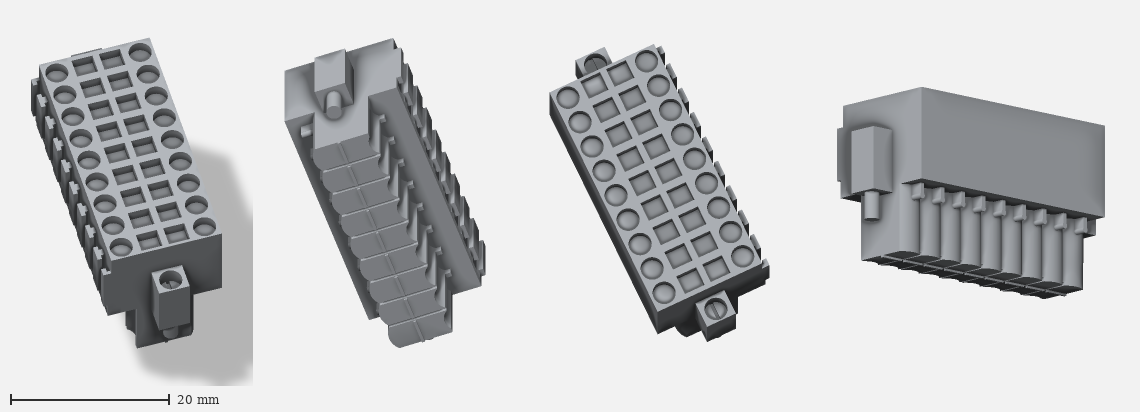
import cadquery as cq
import math


POLE_COUNT = 9
TOTAL_LENGTH = 38.3
BLOCK_LENGTH = 31.52
BLOCK_DEPTH = 14.55
BLOCK_HEIGHT = 11.85
PITCH = BLOCK_LENGTH / POLE_COUNT
BLOCK_FRONT = -BLOCK_DEPTH / 2
BLOCK_BACK = BLOCK_DEPTH / 2
BLOCK_END = BLOCK_LENGTH / 2
POLE_POSITIONS = [(i - (POLE_COUNT - 1) / 2) * PITCH for i in range(POLE_COUNT)]
WALL_POSITIONS = [x + PITCH / 2 for x in POLE_POSITIONS[:-1]]

LIP_FRONT = -7.75
RIB_FRONT = -8.3
RIB_TOP = 9.08
RIB_BOTTOM = 2.3
RIB_HEAD_WIDTH = 2.0
GROOVE_WIDTH = 2.6
GROOVE_FLOOR = 1.15

ENTRY_RADIUS = 1.45
ENTRY_ROW_Y = 5.48
OPENING_LENGTH = 2.53
OPENING_WIDTH = 2.75
OPENING_ROW_Y = 1.8
TOP_RECESS = 1.57
TOP_ROW_SHIFT = 0.1

PLUG_BOTTOM = -8.7
PLUG_FRONT = -4.25
PLUG_BACK = 3.95
END_FRONT = -3.9
VALLEY_BACK = 3.2
WALL_WIDTH = 0.57
SCALLOP_RADIUS = 1.75
WALL_SLOT_WIDTH = 0.35
WALL_SLOT_HEIGHT = 0.45
RAIL_WIDTH = 0.4
RAIL_HEIGHT = 0.25

FRONT_STUB_FRONT = -4.98
FRONT_STUB_BOTTOM = -0.92
LATCH_BACK = 5.55
LATCH_WIDTH = 0.57
LATCH_AXIS_Z = -1.6
LATCH_BEAD_RADIUS = 0.4

FLANGE_WIDTH = 4.02
FLANGE_TOP = 7.12
FLANGE_BOTTOM = -0.92
SCREW_INSET = 1.6
SCREW_X = TOTAL_LENGTH / 2 - SCREW_INSET

HEAD_RADIUS = 1.45
HEAD_SINK = 2.3
HEAD_HEIGHT = 1.55
HEAD_TOP = FLANGE_TOP - HEAD_SINK
HEAD_SEAT = HEAD_TOP - HEAD_HEIGHT
SHANK_RADIUS = 0.95
SHANK_BOTTOM = -4.35
DRIVE_SLOT_WIDTH = 0.45
DRIVE_SLOT_DEPTH = 0.57


def box(x_min, x_max, y_min, y_max, z_min, z_max):
    """Axis-aligned box between the given limits."""
    size = (x_max - x_min, y_max - y_min, z_max - z_min)
    return cq.Workplane("XY").box(*size, centered=False).translate((x_min, y_min, z_min))


def centred_box(x, width, y_min, y_max, z_min, z_max):
    """Box of the given X width, centred on x."""
    return box(x - width / 2, x + width / 2, y_min, y_max, z_min, z_max)


def rod(x, y, radius, z_min, z_max):
    """Vertical cylinder."""
    return cq.Workplane("XY", origin=(x, y, z_min)).circle(radius).extrude(z_max - z_min)


def add_coding_ribs(body):
    """Front layer split by grooves into necks, each carrying a wider rib head."""
    body = body.union(box(-BLOCK_END, BLOCK_END, LIP_FRONT, BLOCK_FRONT, 0, RIB_TOP))
    for x in POLE_POSITIONS:
        body = body.cut(centred_box(x, GROOVE_WIDTH, LIP_FRONT, BLOCK_FRONT, GROOVE_FLOOR, RIB_TOP))
    for x in WALL_POSITIONS:
        body = body.union(centred_box(x, RIB_HEAD_WIDTH, RIB_FRONT, LIP_FRONT, RIB_BOTTOM, RIB_TOP))
    half_head = box(-BLOCK_END, -BLOCK_END + RIB_HEAD_WIDTH / 2, RIB_FRONT, LIP_FRONT, RIB_BOTTOM, RIB_TOP)
    return body.union(half_head).union(half_head.mirror("YZ"))


def cut_top_recesses(body):
    """Two outer rows of round wire entries and two inner rows of rectangular openings."""
    entries = [(x + TOP_ROW_SHIFT, side * ENTRY_ROW_Y) for x in POLE_POSITIONS for side in (-1, 1)]
    openings = [(x + TOP_ROW_SHIFT, side * OPENING_ROW_Y) for x in POLE_POSITIONS for side in (-1, 1)]
    recess_floor = cq.Workplane("XY", origin=(0, 0, BLOCK_HEIGHT - TOP_RECESS))
    body = body.cut(recess_floor.pushPoints(entries).circle(ENTRY_RADIUS).extrude(TOP_RECESS))
    opening_sections = recess_floor.pushPoints(openings).rect(OPENING_LENGTH, OPENING_WIDTH)
    return body.cut(opening_sections.extrude(TOP_RECESS))


def make_plug_blank():
    """Plug section with a flat front and one convex arc per pole along its back."""
    outline = cq.Workplane("XY", origin=(0, 0, PLUG_BOTTOM)).moveTo(-BLOCK_END, VALLEY_BACK)
    for x in POLE_POSITIONS:
        outline = outline.threePointArc((x, PLUG_BACK), (x + PITCH / 2, VALLEY_BACK))
    return outline.lineTo(BLOCK_END, PLUG_FRONT).lineTo(-BLOCK_END, PLUG_FRONT).close().extrude(-PLUG_BOTTOM)


def cut_front_scallops(plug):
    """One concave scallop per pole, with a wall of WALL_WIDTH left between neighbours."""
    half_opening = (PITCH - WALL_WIDTH) / 2
    axis_y = PLUG_FRONT - math.sqrt(SCALLOP_RADIUS**2 - half_opening**2)
    for x in POLE_POSITIONS:
        plug = plug.cut(rod(x, axis_y, SCALLOP_RADIUS, PLUG_BOTTOM, 0))
    for x_min, x_max in ((-BLOCK_END, POLE_POSITIONS[0]), (POLE_POSITIONS[-1], BLOCK_END)):
        plug = plug.cut(box(x_min, x_max, PLUG_FRONT, END_FRONT, PLUG_BOTTOM, 0))
    return plug


def make_plug():
    """Lower plug section with a bottom rail, slotted from below between the poles."""
    plug = cut_front_scallops(make_plug_blank())
    rail_bottom = PLUG_BOTTOM - RAIL_HEIGHT
    rail_half = RAIL_WIDTH / 2
    slot_top = PLUG_BOTTOM + WALL_SLOT_HEIGHT
    plug = plug.union(box(-BLOCK_END, BLOCK_END, -rail_half, rail_half, rail_bottom, PLUG_BOTTOM))
    for x in WALL_POSITIONS:
        plug = plug.cut(centred_box(x, WALL_SLOT_WIDTH, PLUG_FRONT, PLUG_BACK, PLUG_BOTTOM, slot_top))
        plug = plug.cut(centred_box(x, WALL_WIDTH, -rail_half, rail_half, rail_bottom, PLUG_BOTTOM))
    return plug


def add_overhang_ribs(body):
    """Short stubs in front of the walls and a beaded latch rib behind every pole."""
    for x in WALL_POSITIONS:
        body = body.union(centred_box(x, WALL_WIDTH, FRONT_STUB_FRONT, PLUG_FRONT, FRONT_STUB_BOTTOM, 0))
    for x in POLE_POSITIONS:
        body = body.union(centred_box(x, LATCH_WIDTH, VALLEY_BACK, LATCH_BACK, LATCH_AXIS_Z, 0))
        bead = cq.Workplane("XZ", origin=(x, LATCH_BACK, LATCH_AXIS_Z)).circle(LATCH_BEAD_RADIUS)
        body = body.union(bead.extrude(LATCH_BACK - VALLEY_BACK))
    return body


def make_flange(side):
    """End flange with a stepped bore for its screw; side is -1 or +1 along X."""
    x_min, x_max = sorted((side * BLOCK_END, side * TOTAL_LENGTH / 2))
    flange = box(x_min, x_max, -FLANGE_WIDTH / 2, FLANGE_WIDTH / 2, FLANGE_BOTTOM, FLANGE_TOP)
    flange = flange.cut(rod(side * SCREW_X, 0, HEAD_RADIUS, HEAD_SEAT, FLANGE_TOP))
    return flange.cut(rod(side * SCREW_X, 0, SHANK_RADIUS, FLANGE_BOTTOM, HEAD_SEAT))


def make_housing():
    """Upper block, plug section, overhang ribs and both screw flanges as one solid."""
    body = box(-BLOCK_END, BLOCK_END, BLOCK_FRONT, BLOCK_BACK, 0, BLOCK_HEIGHT)
    body = add_coding_ribs(body)
    body = cut_top_recesses(body)
    body = body.union(make_plug())
    body = add_overhang_ribs(body)
    for side in (-1, 1):
        body = body.union(make_flange(side))
    return body


def make_screw(side):
    """Slotted screw sunk in its flange; side is -1 or +1 along X."""
    x = side * SCREW_X
    head = rod(x, 0, HEAD_RADIUS, HEAD_SEAT, HEAD_TOP)
    shank = rod(x, 0, SHANK_RADIUS, SHANK_BOTTOM, HEAD_SEAT)
    half_slot = DRIVE_SLOT_WIDTH / 2
    slot_floor = HEAD_TOP - DRIVE_SLOT_DEPTH
    drive_slot = centred_box(x, 2 * HEAD_RADIUS, -half_slot, half_slot, slot_floor, HEAD_TOP)
    return head.union(shank).cut(drive_slot)


housing = make_housing()
screws = [make_screw(side) for side in (-1, 1)]
result = cq.Compound.makeCompound([housing.val(), *[screw.val() for screw in screws]])